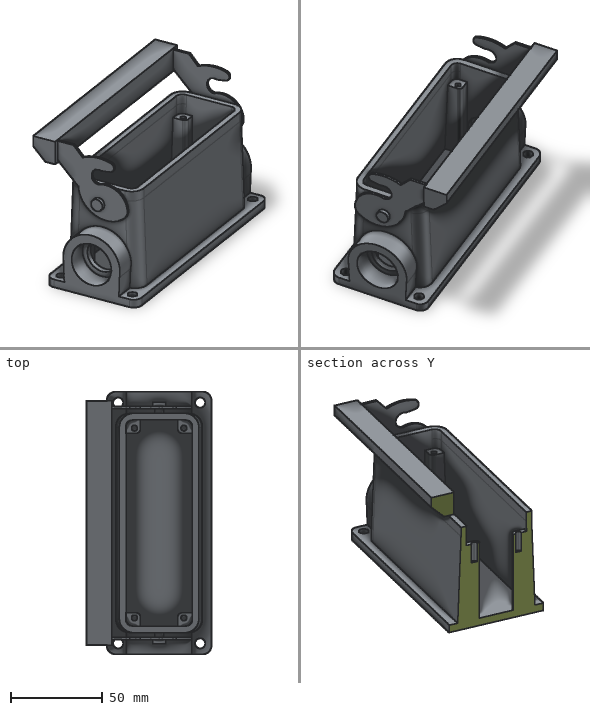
import cadquery as cq
import math

flange_width = 57.6
flange_length = 144.0
flange_height = 4.9
flange_corner = 5.0
mount_x = 22.5
mount_y = 66.0
mount_diameter = 5.5

hood_length = 120.1
hood_base_width = 47.5
hood_rim_width = 43.5
hood_top = 64.0
rim_height = 5.6
hood_corner = 7.5
wall = 3.6
taper_end = hood_top - rim_height

entry_z = 20.0
entry_radius = 18.0
entry_foot_half = 17.1
entry_join_drop = 3.0
entry_bore_radius = 12.5
entry_hole_radius = 9.5
entry_bore_depth = (flange_length - hood_length) / 2

post_top = 52.0
post_width = 7.9
post_length = 7.2
post_round = 2.3
post_hole_diameter = 3.2
post_hole_depth = 11.5
post_hole_x = 13.5
post_hole_y = 52.0

bar_left = -39.9
bar_side = 14.0
bar_top = 86.8
bar_chamfer = 7.8
bar_length = 133.9
bar_right = bar_left + bar_side
plate_inner_y = 62.5
plate_thickness = 1.5
plate_top = 86.0
plate_edge_bottom = 74.0
plate_top_run = 10.0
arm_root = (-10.2, 79.8)
arm_crest = (-1.6, 82.0)
arm_tip_x = 6.6
arm_tip_z = 78.0
arm_tip_radius = 2.9
notch_z = 70.3
notch_radius = 4.6
arm_tip_start_angle = 80
arm_tip_end_angle = -65
notch_lip_angle = 68
lobe_x = 4.8
lobe_upper_z = 53.3
lobe_upper_radius = 13.2
lobe_lower_z = 62.5
lobe_lower_radius = 17.7
lobe_upper_start_angle = 103
lobe_lower_start_angle = -56
lobe_lower_end_angle = -176
lobe_nose = (16.7, 49.7)
pivot_z = 54.0
pivot_radius = 2.5
pivot_head_radius = 3.6
pivot_end_y = 66.2

ENDS = (-1, 1)
CORNERS = [(sx, sy) for sx in ENDS for sy in ENDS]


def polar(x, z, radius, degrees):
    """Point on a circle in the XZ plane."""
    angle = math.radians(degrees)
    return (x + radius * math.cos(angle), z + radius * math.sin(angle))


def along_y(sketch_plane_y):
    """XZ workplane at the given Y; positive extrusion runs toward -Y."""
    return cq.Workplane("XZ", origin=(0, sketch_plane_y, 0))


def hood_block(inset, bottom):
    """Tapered block with a straight rim, shrunk by inset on all four sides."""
    base_half = hood_base_width / 2 - inset
    rim_half = hood_rim_width / 2 - inset
    length = hood_length - 2 * inset
    profile = [
        (-base_half, bottom),
        (base_half, bottom),
        (rim_half, taper_end),
        (rim_half, hood_top),
        (-rim_half, hood_top),
        (-rim_half, taper_end),
    ]
    block = along_y(length / 2).polyline(profile).close().extrude(length)
    upright_edges = block.faces("<Y or >Y").edges("not |X")
    return upright_edges.fillet(hood_corner - inset)


def flange():
    plate = cq.Workplane("XY").rect(flange_width, flange_length).extrude(flange_height)
    plate = plate.edges("|Z").fillet(flange_corner)
    points = [(sx * mount_x, sy * mount_y) for sx, sy in CORNERS]
    return plate.faces(">Z").workplane(origin=(0, 0, 0)).pushPoints(points).hole(mount_diameter)


def entry_collars():
    """Arched collars over the full length; the cavity later removes the middle."""
    join_z = entry_z - entry_join_drop
    join_half = math.sqrt(entry_radius**2 - entry_join_drop**2)
    return (
        along_y(flange_length / 2)
        .moveTo(-entry_foot_half, 0)
        .lineTo(-join_half, join_z)
        .threePointArc((0, entry_z + entry_radius), (join_half, join_z))
        .lineTo(entry_foot_half, 0)
        .close()
        .extrude(flange_length)
    )


def screw_post(sx, sy, cavity):
    """Corner post with a blind hole, trimmed to the cavity so that it merges with the walls."""
    cavity_corner = (sx * (hood_rim_width / 2 - wall), sy * (hood_length / 2 - wall))
    post = cq.Workplane("XY").center(*cavity_corner).rect(2 * post_width, 2 * post_length).extrude(post_top)
    post = post.edges("|Z").fillet(post_round)
    hole = (
        cq.Workplane("XY", origin=(sx * post_hole_x, sy * post_hole_y, post_top))
        .circle(post_hole_diameter / 2)
        .extrude(-post_hole_depth)
    )
    return post.intersect(cavity).cut(hole)


def build_housing():
    cavity = hood_block(wall, flange_height)
    body = flange().union(hood_block(0, flange_height)).union(entry_collars()).cut(cavity)
    for sx, sy in CORNERS:
        body = body.union(screw_post(sx, sy, cavity))
    through_hole = along_y(flange_length / 2).center(0, entry_z).circle(entry_hole_radius)
    body = body.cut(through_hole.extrude(flange_length))
    for end in ENDS:
        bore = along_y(end * flange_length / 2).center(0, entry_z).circle(entry_bore_radius)
        body = body.cut(bore.extrude(end * entry_bore_depth))
    return body


def lever_bar():
    bar_bottom = bar_top - bar_side
    profile = [
        (bar_left, bar_top),
        (bar_right, bar_top),
        (bar_right, bar_bottom),
        (bar_left + bar_chamfer, bar_bottom),
        (bar_left, bar_bottom + bar_chamfer),
    ]
    return along_y(bar_length / 2).polyline(profile).close().extrude(bar_length)


def arm_tip_point(degrees):
    return polar(arm_tip_x, arm_tip_z, arm_tip_radius, degrees)


def lobe_upper_point(degrees):
    return polar(lobe_x, lobe_upper_z, lobe_upper_radius, degrees)


def lobe_lower_point(degrees):
    return polar(lobe_x, lobe_lower_z, lobe_lower_radius, degrees)


def lever_plate(start_y):
    """Side plate with a finger, a hook notch and a rounded cam lobe."""
    lobe_upper_middle = lobe_upper_point(lobe_upper_start_angle / 2)
    lobe_lower_middle = lobe_lower_point((lobe_lower_start_angle + lobe_lower_end_angle) / 2)
    return (
        along_y(start_y)
        .moveTo(bar_right, plate_top)
        .lineTo(bar_right + plate_top_run, plate_top)
        .lineTo(*arm_root)
        .threePointArc(arm_crest, arm_tip_point(arm_tip_start_angle))
        .threePointArc(arm_tip_point(0), arm_tip_point(arm_tip_end_angle))
        .lineTo(*polar(0, notch_z, notch_radius, notch_lip_angle))
        .threePointArc((-notch_radius, notch_z), (0, notch_z - notch_radius))
        .lineTo(*lobe_upper_point(lobe_upper_start_angle))
        .threePointArc(lobe_upper_middle, lobe_upper_point(0))
        .threePointArc(lobe_nose, lobe_lower_point(lobe_lower_start_angle))
        .threePointArc(lobe_lower_middle, lobe_lower_point(lobe_lower_end_angle))
        .lineTo(bar_right, plate_edge_bottom)
        .close()
        .extrude(plate_thickness)
    )


def pivot(end):
    """Stepped pivot pin reaching from the hood end wall to its outer head."""
    wall_y = hood_length / 2
    shaft = along_y(end * wall_y).center(0, pivot_z).circle(pivot_radius)
    shaft = shaft.extrude(-end * (plate_inner_y - wall_y))
    head = along_y(end * plate_inner_y).center(0, pivot_z).circle(pivot_head_radius)
    head = head.extrude(-end * (pivot_end_y - plate_inner_y))
    return shaft.union(head)


def build_lever():
    lever = lever_bar()
    for start_y in (plate_inner_y + plate_thickness, -plate_inner_y):
        lever = lever.union(lever_plate(start_y))
    for end in ENDS:
        lever = lever.union(pivot(end))
    return lever


housing = build_housing()
lever = build_lever()
result = cq.Compound.makeCompound([housing.solids().val(), lever.solids().val()])